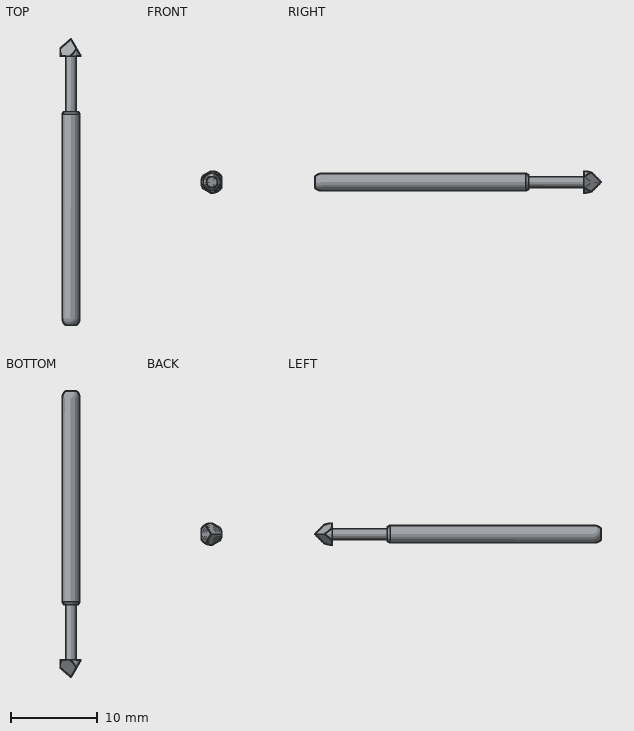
import math

import cadquery as cq

TOTAL_LENGTH = 33.1

HEAD_RADIUS = 1.27
HEAD_LENGTH = 2.0
FACE_ANGLE = 30.0
FACE_COUNT = 3

SHAFT_RADIUS = 0.635
SHAFT_LENGTH = 6.4

BARREL_RADIUS = 1.02
FRONT_CHAMFER_LENGTH = 0.3
FRONT_CHAMFER_DEPTH = 0.18
REAR_DOME_LENGTH = 0.8

HEAD_BASE_Y = TOTAL_LENGTH - HEAD_LENGTH
BARREL_FRONT_Y = HEAD_BASE_Y - SHAFT_LENGTH


def cylinder_along_y(radius, start_y, end_y):
    """Round bar on the Y axis between two stations."""
    bar = cq.Workplane("XZ").circle(radius).extrude(-(end_y - start_y))
    return bar.translate((0, start_y, 0))


def make_barrel():
    """Barrel with a cut-off spherical rear end and a chamfered front rim."""
    end_face_radius = math.sqrt(BARREL_RADIUS**2 - REAR_DOME_LENGTH**2)
    mid_angle = math.asin(REAR_DOME_LENGTH / BARREL_RADIUS) / 2
    dome_middle = (
        BARREL_RADIUS * math.cos(mid_angle),
        REAR_DOME_LENGTH - BARREL_RADIUS * math.sin(mid_angle),
    )
    profile = (
        cq.Workplane("XY")
        .lineTo(end_face_radius, 0)
        .threePointArc(dome_middle, (BARREL_RADIUS, REAR_DOME_LENGTH))
        .lineTo(BARREL_RADIUS, BARREL_FRONT_Y - FRONT_CHAMFER_LENGTH)
        .lineTo(BARREL_RADIUS - FRONT_CHAMFER_DEPTH, BARREL_FRONT_Y)
        .lineTo(0, BARREL_FRONT_Y)
        .close()
    )
    return profile.revolve(360, (0, 0, 0), (0, 1, 0))


def make_head():
    """Round blank with three flat faces meeting at the tip; one face looks toward +X."""
    head = cylinder_along_y(HEAD_RADIUS, HEAD_BASE_Y, TOTAL_LENGTH)
    face_distance = HEAD_LENGTH * math.tan(math.radians(FACE_ANGLE))
    waste_reach = 2 * HEAD_RADIUS
    waste = (
        cq.Workplane("XY")
        .moveTo(0, TOTAL_LENGTH)
        .lineTo(face_distance, HEAD_BASE_Y)
        .lineTo(waste_reach, HEAD_BASE_Y)
        .lineTo(waste_reach, TOTAL_LENGTH)
        .close()
        .extrude(waste_reach, both=True)
    )
    for index in range(FACE_COUNT):
        angle = index * 360 / FACE_COUNT
        head = head.cut(waste.rotate((0, 0, 0), (0, 1, 0), angle))
    return head


shaft = cylinder_along_y(SHAFT_RADIUS, BARREL_FRONT_Y, HEAD_BASE_Y)
result = make_barrel().union(shaft).union(make_head())